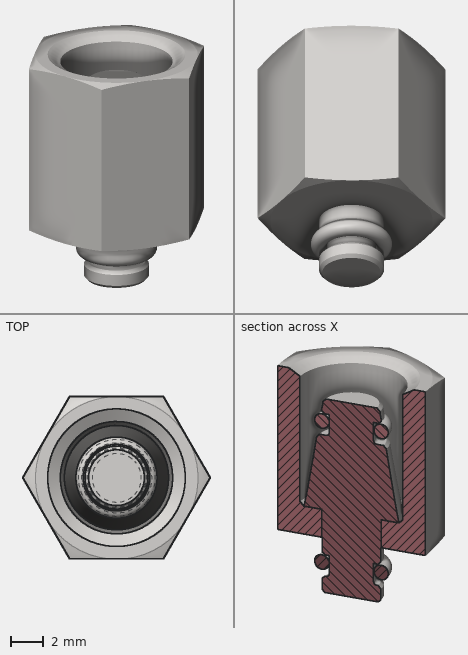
import cadquery as cq
import math

total_height = 14.66
housing_bottom = 3.66

across_flats = 10.0
across_corners = across_flats / math.cos(math.pi / 6)
corner_drop = 0.2
bore_radius = 6.92 / 2
mouth_radius = 4.24
mouth_depth = 0.45
floor_radius = 3.21
floor_height = 5.57
floor_cone_depth = 0.25

pin_radius = 4.0 / 2
pin_top = 13.0
lower_tip_radius = 1.8
upper_tip_radius = 1.72
pin_chamfer = 0.2
taper_top_radius = 1.94
taper_top = pin_top - pin_chamfer

groove_radius = 3.0 / 2
groove_width = 1.4
lower_groove_bottom = 1.13
upper_land_length = 1.04
upper_groove_bottom = pin_top - upper_land_length - groove_width
ring_thickness = 1.0
ring_section = ring_thickness / 2
groove_fillet = 0.2
groove_bottoms = [lower_groove_bottom, upper_groove_bottom]
ring_offset = groove_width - ring_section
ring_center_radius = groove_radius + ring_section
cutter_radius = bore_radius


def revolve_profile(profile):
    """Turn a closed radius-height outline around the Z axis."""
    return profile.close().revolve(360, (0, 0, 0), (0, 1, 0))


def make_hexagon():
    """Hexagonal bar with conically chamfered corners at both ends."""
    bar = (
        cq.Workplane("XY", origin=(0, 0, housing_bottom))
        .polygon(6, across_corners)
        .extrude(total_height - housing_bottom)
    )
    flat_radius = across_flats / 2
    corner_radius = across_corners / 2
    envelope = revolve_profile(
        cq.Workplane("XZ")
        .moveTo(0, housing_bottom)
        .lineTo(flat_radius, housing_bottom)
        .lineTo(corner_radius, housing_bottom + corner_drop)
        .lineTo(corner_radius, total_height - corner_drop)
        .lineTo(flat_radius, total_height)
        .lineTo(0, total_height)
    )
    return bar.intersect(envelope)


def make_housing():
    """Hexagon with a countersunk bore, a tapered floor edge and a pin hole."""
    cavity = revolve_profile(
        cq.Workplane("XZ")
        .moveTo(0, housing_bottom)
        .lineTo(pin_radius, housing_bottom)
        .lineTo(pin_radius, floor_height)
        .lineTo(floor_radius, floor_height)
        .lineTo(bore_radius, floor_height + floor_cone_depth)
        .lineTo(bore_radius, total_height - mouth_depth)
        .lineTo(mouth_radius, total_height)
        .lineTo(0, total_height)
    )
    return make_hexagon().cut(cavity)


def pin_radius_at(height):
    """Pin radius: straight below the bore floor, tapering towards the top above it."""
    if height < floor_height:
        return pin_radius
    rise = (height - floor_height) / (taper_top - floor_height)
    return floor_radius + rise * (taper_top_radius - floor_radius)


def make_groove(bottom):
    """Ring-shaped cutter for one groove, with chamfered rims and a filleted lower corner."""
    top = bottom + groove_width
    bottom_edge = bottom - pin_chamfer
    top_edge = top + pin_chamfer
    bottom_radius = pin_radius_at(bottom_edge)
    top_radius = pin_radius_at(top_edge)
    arc_offset = groove_fillet * (1 - math.sqrt(0.5))
    return revolve_profile(
        cq.Workplane("XZ")
        .moveTo(cutter_radius, bottom_edge)
        .lineTo(bottom_radius, bottom_edge)
        .lineTo(bottom_radius - pin_chamfer, bottom)
        .lineTo(groove_radius + groove_fillet, bottom)
        .threePointArc(
            (groove_radius + arc_offset, bottom + arc_offset),
            (groove_radius, bottom + groove_fillet),
        )
        .lineTo(groove_radius, top)
        .lineTo(top_radius - pin_chamfer, top)
        .lineTo(top_radius, top_edge)
        .lineTo(cutter_radius, top_edge)
    )


def make_pin():
    """Pin with chamfered tips, two grooves and a tapered upper part resting on the bore floor."""
    blank = revolve_profile(
        cq.Workplane("XZ")
        .lineTo(lower_tip_radius, 0)
        .lineTo(pin_radius, pin_chamfer)
        .lineTo(pin_radius, floor_height)
        .lineTo(floor_radius, floor_height)
        .lineTo(taper_top_radius, taper_top)
        .lineTo(upper_tip_radius, pin_top)
        .lineTo(0, pin_top)
    )
    for bottom in groove_bottoms:
        blank = blank.cut(make_groove(bottom))
    return blank


def make_ring(center_height):
    """Round-section O-ring seated on the groove root."""
    return (
        cq.Workplane("XZ")
        .center(ring_center_radius, center_height)
        .circle(ring_section)
        .revolve(360, (-ring_center_radius, 0, 0), (-ring_center_radius, 1, 0))
    )


housing = make_housing()
pin = make_pin()
rings = [make_ring(bottom + ring_offset).val() for bottom in groove_bottoms]

result = cq.Compound.makeCompound([housing.val(), pin.val(), *rings])